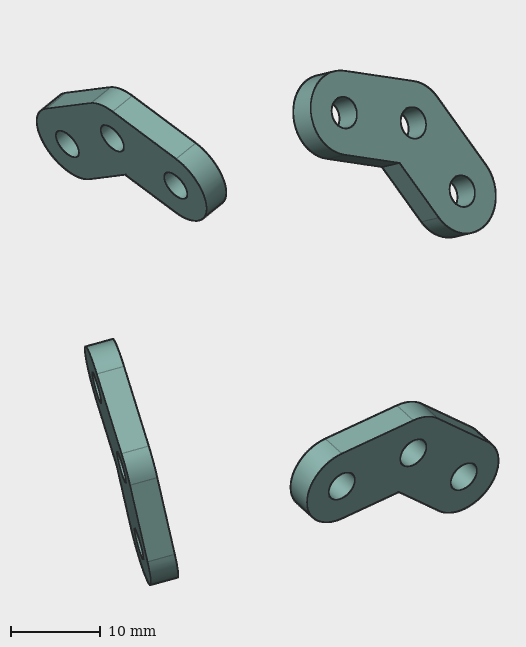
import cadquery as cq
import math

overall_length = 26.2
thickness = 3.17
hole_pitch = 9.78
hole_diameter = 3.56
bend_angle = 45.0

arm_run = hole_pitch * math.cos(math.radians(bend_angle))
arm_drop = hole_pitch * math.sin(math.radians(bend_angle))
end_radius = (overall_length - hole_pitch - arm_run) / 2

elbow = (0, 0)
upper_end = (hole_pitch, 0)
lower_end = (-arm_run, -arm_drop)


def make_arm(end, angle):
    """Round-ended arm from the elbow to the given hole centre."""
    middle = (end[0] / 2, end[1] / 2)
    return (
        cq.Workplane("XZ")
        .center(*middle)
        .slot2D(hole_pitch + 2 * end_radius, 2 * end_radius, angle)
        .extrude(thickness)
    )


plate = make_arm(upper_end, 0).union(make_arm(lower_end, bend_angle))

holes = (
    cq.Workplane("XZ")
    .pushPoints([lower_end, elbow, upper_end])
    .circle(hole_diameter / 2)
    .extrude(thickness)
)

result = plate.cut(holes).clean()